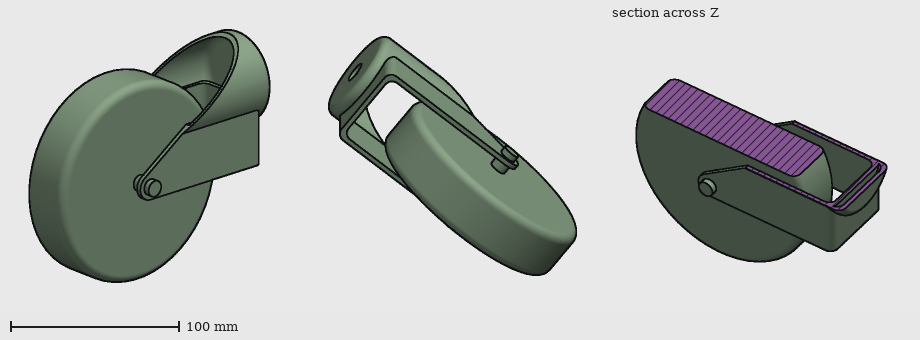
import cadquery as cq
import math

wheel_diameter = 125.0
wheel_radius = wheel_diameter / 2
wheel_width = 32.0
axle_diameter = 10.0
axle_length = 59.0
edge_radius = 5.0

overall_length = 158.0
overall_height = 131.0
canopy_diameter = 57.0
canopy_radius = canopy_diameter / 2
canopy_wall = 2.0
canopy_back = overall_length - wheel_radius
canopy_axis_z = overall_height - wheel_radius - canopy_radius
back_plate = 3.0
mount_hole_diameter = 12.5

fork_width = 51.0
fork_wall = 3.0
fork_back = 89.5
fork_top = 31.1
fork_end_radius = 8.0

slope_top_y = 85.8
slope_top_z = canopy_axis_z + canopy_radius
slope_top_distance = math.hypot(slope_top_y, slope_top_z)
tangent_angle = math.atan2(slope_top_z, slope_top_y) + math.acos(fork_end_radius / slope_top_distance)


def cylinder_along_x(diameter, length):
    return cq.Workplane("YZ", origin=(-length / 2, 0, 0)).circle(diameter / 2).extrude(length)


def canopy_cylinder(radius, back):
    """Closed end at the given +Y position, with its rim rounded."""
    front = -fork_end_radius
    cylinder = (
        cq.Workplane("XZ", origin=(0, back, canopy_axis_z))
        .circle(radius)
        .extrude(back - front)
    )
    return cylinder.faces(">Y").edges().fillet(edge_radius)


def fork_block(width, back, top):
    """Upright block with its two back corners rounded."""
    front = -fork_end_radius
    block = (
        cq.Workplane("XY", origin=(0, 0, -fork_end_radius))
        .center(0, (back + front) / 2)
        .rect(width, back - front)
        .extrude(top + fork_end_radius)
    )
    return block.edges("|Z and >Y").fillet(edge_radius)


def side_profile():
    """Side outline that trims the housing to its slope and round fork end."""
    tangent_y = fork_end_radius * math.cos(tangent_angle)
    tangent_z = fork_end_radius * math.sin(tangent_angle)
    return (
        cq.Workplane("YZ")
        .moveTo(0, -fork_end_radius)
        .threePointArc((-fork_end_radius, 0), (tangent_y, tangent_z))
        .lineTo(slope_top_y, slope_top_z)
        .lineTo(canopy_back, slope_top_z)
        .lineTo(canopy_back, -fork_end_radius)
        .close()
        .extrude(canopy_radius, both=True)
    )


def make_housing():
    canopy = canopy_cylinder(canopy_radius, canopy_back)
    canopy_space = canopy_cylinder(canopy_radius - canopy_wall, canopy_back - back_plate)
    fork = fork_block(fork_width, fork_back, fork_top)
    fork_space = fork_block(fork_width - 2 * fork_wall, fork_back - fork_wall, fork_top)
    mount_hole = (
        cq.Workplane("XZ", origin=(0, canopy_back, canopy_axis_z))
        .circle(mount_hole_diameter / 2)
        .extrude(2 * back_plate)
    )
    housing = canopy.cut(canopy_space).union(fork).cut(fork_space)
    return housing.cut(mount_hole).intersect(side_profile())


def make_wheel():
    wheel = cylinder_along_x(wheel_diameter, wheel_width)
    return wheel.edges("%CIRCLE").fillet(edge_radius)


axle = cylinder_along_x(axle_diameter, axle_length)
result = make_housing().union(axle).union(make_wheel())